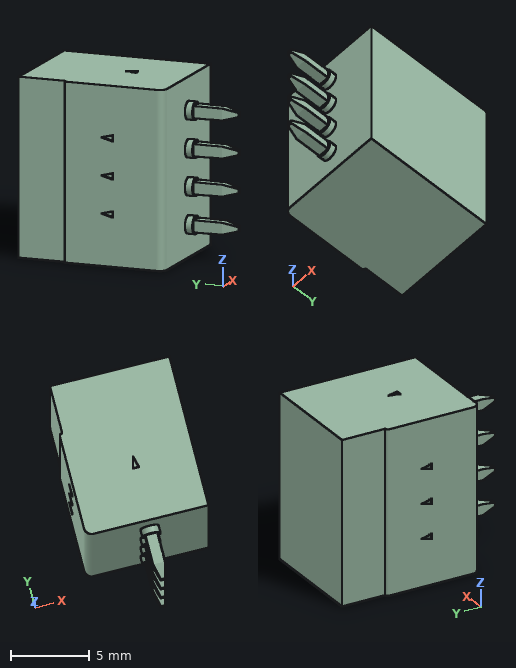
import cadquery as cq

body_width = 8.1
body_depth = 10.1
body_height = 11.9
corner_radius = 0.5

step_depth = 0.2
step_length = 3.2

pin_count = 4
pin_pitch = 2.5
pin_x = 4.2
pin_size = 0.8
pin_length = 3.5
taper_length = 1.0
tip_size = 0.3
collar_diameter = 1.2
collar_length = 0.5

mark_width = 0.4
mark_length = 0.75
mark_base_y = 3.55
mark_depth = 0.1

first_pin_z = (body_height - (pin_count - 1) * pin_pitch) / 2
pin_heights = [first_pin_z + i * pin_pitch for i in range(pin_count)]


def make_body():
    """Housing with its pin face at y = 0 and its -X side at x = 0."""
    step_y = body_depth - step_length
    outline = (
        cq.Workplane("XY")
        .moveTo(corner_radius, 0)
        .lineTo(body_width, 0)
        .lineTo(body_width, body_depth)
        .lineTo(step_depth, body_depth)
        .lineTo(step_depth, step_y)
        .radiusArc((0, step_y - step_depth), -step_depth)
        .lineTo(0, corner_radius)
        .radiusArc((corner_radius, 0), -corner_radius)
        .close()
    )
    return outline.extrude(body_height)


def make_pin(z):
    """Square pin with a round collar at its root and a tapered tip."""
    face = cq.Workplane("XZ", origin=(pin_x, 0, z))
    collar = face.circle(collar_diameter / 2).extrude(collar_length)
    shaft_length = pin_length - taper_length
    shaft = face.rect(pin_size, pin_size).extrude(shaft_length)
    taper = (
        face.workplane(offset=shaft_length)
        .rect(pin_size, pin_size)
        .workplane(offset=taper_length)
        .rect(tip_size, tip_size)
        .loft(ruled=True)
    )
    return collar.union(shaft).union(taper)


def make_mark(plane):
    """Triangular cutter whose local y axis runs along the direction it points."""
    half_width = mark_width / 2
    triangle = [(-half_width, 0), (half_width, 0), (0, mark_length)]
    return cq.Workplane(plane).polyline(triangle).close().extrude(-mark_depth)


def make_top_mark():
    """Mark on the top face, in line with the pins."""
    return make_mark(cq.Plane(origin=(pin_x, mark_base_y, body_height), xDir=(1, 0, 0), normal=(0, 0, 1)))


def make_side_mark(z):
    """Mark on the -X side at height z."""
    return make_mark(cq.Plane(origin=(0, mark_base_y, z), xDir=(0, 0, 1), normal=(-1, 0, 0)))


result = make_body()
for pin_z in pin_heights:
    result = result.union(make_pin(pin_z))

result = result.cut(make_top_mark())
for pin_z in pin_heights[:-1]:
    result = result.cut(make_side_mark(pin_z + pin_pitch / 2))